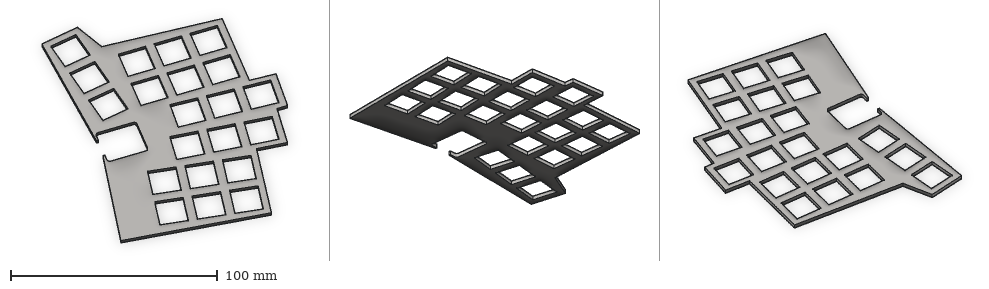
import cadquery as cq


plate_length = 135.8
plate_width = 104.3
plate_thickness = 2.0

switch_size = 14.0
key_pitch = 18.5

key_groups = [
    ((38.0, 61.8), 0, 2, 3),
    ((66.8, 74.8), -3, 1, 3),
    ((86.1, 67.9), -6, 1, 3),
    ((112.3, 48.7), -9, 2, 3),
    ((30.1, 18.5), 10, 3, 1),
]

slot_left = 62.5
slot_right = 80.5
slot_bottom = 9.9
slot_top = 30.8
slot_corner_radius = 1.5
mouth_left = 66.8
mouth_right = 76.2
mouth_edge_y = 9.0

left_block_top = 90.8
outline = [
    (18.7, left_block_top),
    (57.8, left_block_top),
    (58.5, plate_width),
    (78.2, 103.2),
    (78.2, 97.8),
    (99.0, 95.7),
    (97.4, 80.4),
    (plate_length, 74.3),
    (126.8, 0),
    (mouth_right, mouth_edge_y),
    (mouth_left, mouth_edge_y),
    (3.5, 3.5),
    (0, 23.1),
    (14.8, 30.3),
]


def make_plate():
    return cq.Workplane("XY").polyline(outline).close().extrude(plate_thickness)


def make_switch_openings(center, tilt, columns, rows):
    """Cutter for one grid of switch openings, tilted about its centre."""
    return (
        cq.Workplane("XY")
        .rarray(key_pitch, key_pitch, columns, rows)
        .rect(switch_size, switch_size)
        .extrude(plate_thickness)
        .rotate((0, 0, 0), (0, 0, 1), tilt)
        .translate((center[0], center[1], 0))
    )


def make_slot():
    """Cutter for the rounded slot together with its mouth through the lower edge."""
    slot_width = slot_right - slot_left
    slot_height = slot_top - slot_bottom
    slot = (
        cq.Workplane("XY")
        .box(slot_width, slot_height, plate_thickness, centered=False)
        .edges("|Z")
        .fillet(slot_corner_radius)
        .translate((slot_left, slot_bottom, 0))
    )
    mouth_width = mouth_right - mouth_left
    mouth_height = slot_top - slot_corner_radius
    mouth = (
        cq.Workplane("XY")
        .box(mouth_width, mouth_height, plate_thickness, centered=False)
        .translate((mouth_left, 0, 0))
    )
    return slot.union(mouth)


result = make_plate().cut(make_slot())
for center, tilt, columns, rows in key_groups:
    result = result.cut(make_switch_openings(center, tilt, columns, rows))